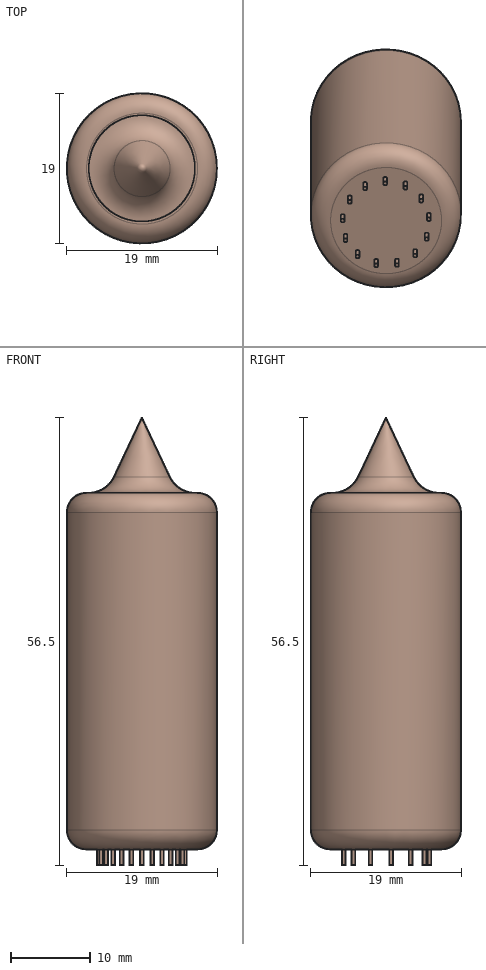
import cadquery as cq
import math

total_height = 56.5

tube_diameter = 19.0
tube_height = 45.05
tube_edge_radius = 2.5

pin_count = 13
pin_diameter = 0.5
pin_length = 2.0
pin_circle_radius = 5.5
first_pin_angle = 90.0

cone_half_angle = 25.3
flare_radius = 3.5

tube_top = pin_length + tube_height
tip_height = total_height - tube_top


def make_tube():
    """Tube with rounded rims and its pins, as one solid standing on Z = 0."""
    tube = (
        cq.Workplane("XY")
        .workplane(offset=pin_length)
        .circle(tube_diameter / 2)
        .extrude(tube_height)
        .edges()
        .fillet(tube_edge_radius)
    )
    pins = (
        cq.Workplane("XY")
        .polarArray(pin_circle_radius, first_pin_angle, 360, pin_count)
        .circle(pin_diameter / 2)
        .extrude(pin_length)
    )
    return tube.union(pins)


def make_tip():
    """Revolved cone whose concave flare is tangent to the cone and to the tube top."""
    angle = math.radians(cone_half_angle)
    flare_height = flare_radius * (1 - math.sin(angle))
    cone_base_radius = (tip_height - flare_height) * math.tan(angle)
    flare_outer_radius = cone_base_radius + flare_radius * math.cos(angle)
    return (
        cq.Workplane("XZ")
        .moveTo(0, tube_top)
        .lineTo(flare_outer_radius, tube_top)
        .radiusArc((cone_base_radius, tube_top + flare_height), flare_radius)
        .lineTo(0, total_height)
        .close()
        .revolve(360, (0, 0), (0, 1))
    )


tube = make_tube()
tip = make_tip()
result = cq.Compound.makeCompound([tube.solids().val(), tip.val()])